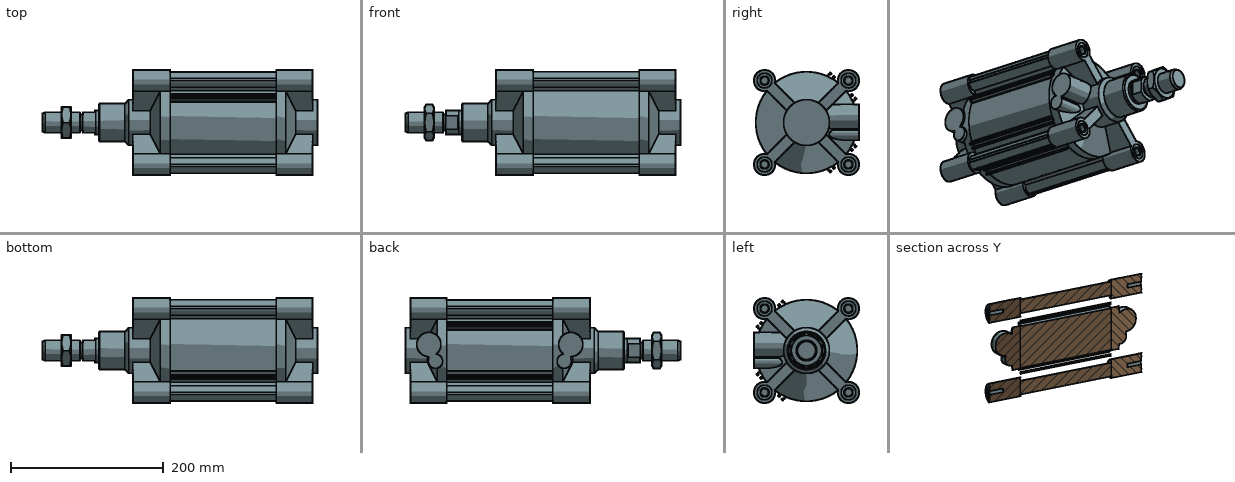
import cadquery as cq
import math


TIP_CHAMFER_END = 3.5
NUT_START = 25.0
NUT_END = 37.5
THREAD_END = 49.0
UNDERCUT_START = 50.5
COLLAR_START = 53.0
FLATS_END = 68.5
COLLAR_END = 70.0
NOSE_START = 73.5
NOSE_END = 108.0
HUB_START = 113.0
FRONT_LUG_START = 118.5
FRONT_CONE_START = 141.0
FRONT_CONE_END = 154.5
BARREL_START = 167.0
BARREL_END = 306.0
REAR_CONE_START = 318.2
REAR_CONE_END = 331.2
REAR_LUG_END = 353.5
CYLINDER_END = 360.0

THREAD_DIAMETER = 27.0
TIP_DIAMETER = 23.8
UNDERCUT_DIAMETER = 20.5
COLLAR_DIAMETER = 32.0
ROD_DIAMETER = 31.5
NUT_ACROSS_FLATS = 41.0
NUT_FACE_DIAMETER = 39.5
NUT_CHAMFER_ANGLE = 30.0

NOSE_DIAMETER = 50.0
NOSE_CHAMFER = 1.8
HUB_DIAMETER = 60.0
HEAD_DIAMETER = 133.2
HEAD_SIDE = 138.0
LUG_DIAMETER = 28.0
LUG_OFFSET = (HEAD_SIDE - LUG_DIAMETER) / 2
WEB_WIDTH = 14.5
LUG_RECESS_DIAMETER = 19.5
LUG_RECESS_DEPTH = 0.5
LUG_HOLE_DIAMETER = 10.0
LUG_HOLE_MOUTH_DIAMETER = 12.0
LUG_HOLE_DEPTH = 21.5

BOSS_FACE_Y = HEAD_SIDE / 2
PORT_BOSS_DIAMETER = 31.5
PORT_BOSS_Z = 8.0
PORT_BOSS_INSET = 23.5
SCREW_BOSS_DIAMETER = 18.7
SCREW_BOSS_Z = -14.0
SCREW_BOSS_INSET = 14.8
BOSS_WEB_BOTTOM_Z = -10.8

COLUMN_OFFSET = 56.0
COLUMN_DIAMETER = 20.5
COLUMN_SLOT_WIDTH = 3.5
COLUMN_SLOT_DEPTH = 1.0
RAIL_TOP = 68.5
RAIL_OFFSET = 19.8
RAIL_WIDTH = 9.0
RAIL_CAVITY_WIDTH = 6.5
RAIL_CAVITY_FLOOR = 62.5
RAIL_MOUTH_WIDTH = 4.0
RAIL_LIP_THICKNESS = 1.8

DIAGONALS = (45, 135, 225, 315)


def turned(profile):
    """Solid of revolution about X; the profile lists (x, radius) from one end to the other."""
    outline = [(profile[0][0], 0), *profile, (profile[-1][0], 0)]
    return cq.Workplane("XY").polyline(outline).close().revolve(360, (0, 0, 0), (1, 0, 0))


def x_rod(start, end, diameter, y=0.0, z=0.0):
    """Round bar parallel to X."""
    return cq.Workplane("YZ", origin=(start, y, z)).circle(diameter / 2).extrude(end - start)


def block(x_range, y_range, z_range):
    """Box given by its limits along each axis."""
    ranges = (x_range, y_range, z_range)
    size = [high - low for low, high in ranges]
    return cq.Workplane("XY", origin=[low for low, _ in ranges]).box(*size, centered=False)


def about_x(body, angle):
    return body.rotate((0, 0, 0), (1, 0, 0), angle)


def make_rod():
    thread = THREAD_DIAMETER / 2
    undercut = UNDERCUT_DIAMETER / 2
    collar = COLLAR_DIAMETER / 2
    shank = ROD_DIAMETER / 2
    rod = turned([
        (0, TIP_DIAMETER / 2), (TIP_CHAMFER_END, thread),
        (THREAD_END, thread), (UNDERCUT_START, undercut),
        (COLLAR_START, undercut), (COLLAR_START, collar),
        (COLLAR_END, collar), (COLLAR_END, shank), (BARREL_START, shank),
    ])
    for side in (0, 180):
        flat = block((COLLAR_START, FLATS_END), (thread, collar), (-collar, collar))
        rod = rod.cut(about_x(flat, side))
    return rod


def make_nut():
    corner = NUT_ACROSS_FLATS / math.sqrt(3)
    face = NUT_FACE_DIAMETER / 2
    chamfer = (corner - face) * math.tan(math.radians(NUT_CHAMFER_ANGLE))
    hexagon = cq.Workplane("YZ", origin=(NUT_START, 0, 0)).polygon(6, 2 * corner).extrude(NUT_END - NUT_START)
    envelope = turned([
        (NUT_START, face), (NUT_START + chamfer, corner),
        (NUT_END - chamfer, corner), (NUT_END, face),
    ])
    return about_x(hexagon, 90).intersect(envelope).cut(x_rod(NUT_START, NUT_END, THREAD_DIAMETER))


def add_lugs(head, start, end):
    """Four corner lugs, each joined to the hub by a diagonal web."""
    for angle in DIAGONALS:
        reach = LUG_OFFSET * math.sqrt(2)
        web = block((start, end), (0, reach), (-WEB_WIDTH / 2, WEB_WIDTH / 2))
        lug = web.union(x_rod(start, end, LUG_DIAMETER, y=reach))
        head = head.union(about_x(lug, angle))
    return head


def lug_hole(outer_face, inward):
    """Threaded hole with a countersunk mouth in a shallow round recess; inward is +1 or -1 along X."""
    seat = LUG_RECESS_DEPTH
    sink = (LUG_HOLE_MOUTH_DIAMETER - LUG_HOLE_DIAMETER) / 2
    steps = [
        (0, LUG_RECESS_DIAMETER / 2), (seat, LUG_RECESS_DIAMETER / 2),
        (seat, LUG_HOLE_MOUTH_DIAMETER / 2), (seat + sink, LUG_HOLE_DIAMETER / 2),
        (LUG_HOLE_DEPTH, LUG_HOLE_DIAMETER / 2),
    ]
    return turned([(outer_face + inward * depth, radius) for depth, radius in steps])


def cut_lug_holes(head, outer_face, inward):
    hole = lug_hole(outer_face, inward).translate((0, LUG_OFFSET * math.sqrt(2), 0))
    for angle in DIAGONALS:
        head = head.cut(about_x(hole, angle))
    return head


def add_port_bosses(head, barrel_face, outward):
    """Port boss and cushion screw boss reaching out to +Y; outward is +1 or -1 along X."""
    bosses = (
        (PORT_BOSS_DIAMETER, PORT_BOSS_INSET, PORT_BOSS_Z),
        (SCREW_BOSS_DIAMETER, SCREW_BOSS_INSET, SCREW_BOSS_Z),
    )
    for diameter, inset, height in bosses:
        plane = cq.Workplane("XZ", origin=(barrel_face + outward * inset, BOSS_FACE_Y, height))
        head = head.union(plane.circle(diameter / 2).extrude(BOSS_FACE_Y))
    web_ends = sorted(barrel_face + outward * inset for _, inset, _ in bosses)
    return head.union(block(web_ends, (0, BOSS_FACE_Y), (BOSS_WEB_BOTTOM_Z, PORT_BOSS_Z)))


def make_front_head():
    nose = NOSE_DIAMETER / 2
    hub = HUB_DIAMETER / 2
    head = turned([
        (NOSE_START, nose - NOSE_CHAMFER), (NOSE_START + NOSE_CHAMFER, nose),
        (NOSE_END, nose), (HUB_START, hub), (FRONT_CONE_START, hub),
        (FRONT_CONE_END, HEAD_DIAMETER / 2), (BARREL_START, HEAD_DIAMETER / 2),
    ])
    head = add_lugs(head, FRONT_LUG_START, BARREL_START)
    head = add_port_bosses(head, BARREL_START, -1)
    head = cut_lug_holes(head, FRONT_LUG_START, 1)
    return head.cut(x_rod(NOSE_START, BARREL_START, ROD_DIAMETER))


def make_rear_head():
    hub = HUB_DIAMETER / 2
    head = turned([
        (BARREL_END, HEAD_DIAMETER / 2), (REAR_CONE_START, HEAD_DIAMETER / 2),
        (REAR_CONE_END, hub), (CYLINDER_END, hub),
    ])
    head = add_lugs(head, BARREL_END, REAR_LUG_END)
    head = add_port_bosses(head, BARREL_END, 1)
    return cut_lug_holes(head, REAR_LUG_END, -1)


def make_column():
    """Column at the +Y +Z corner: a slotted round bar on a diagonal web."""
    length = (BARREL_START, BARREL_END)
    reach = COLUMN_OFFSET * math.sqrt(2)
    web = about_x(block(length, (0, reach), (-WEB_WIDTH / 2, WEB_WIDTH / 2)), DIAGONALS[0])
    column = web.union(x_rod(*length, COLUMN_DIAMETER, y=COLUMN_OFFSET, z=COLUMN_OFFSET))
    crown = COLUMN_OFFSET + COLUMN_DIAMETER / 2
    across = (COLUMN_OFFSET - COLUMN_SLOT_WIDTH / 2, COLUMN_OFFSET + COLUMN_SLOT_WIDTH / 2)
    deep = (crown - COLUMN_SLOT_DEPTH, crown)
    return column.cut(block(length, deep, across)).cut(block(length, across, deep))


def rail_block(bottom, top, width):
    """Full-length block beside the +Y axis, centred on the rail."""
    sides = (RAIL_OFFSET - width / 2, RAIL_OFFSET + width / 2)
    return block((BARREL_START, BARREL_END), (bottom, top), sides)


def make_rail():
    """Sensor rail standing along +Y, and the undercut slot that opens at its tip."""
    rail = rail_block(0, RAIL_TOP, RAIL_WIDTH)
    cavity = rail_block(RAIL_CAVITY_FLOOR, RAIL_TOP - RAIL_LIP_THICKNESS, RAIL_CAVITY_WIDTH)
    mouth = rail_block(RAIL_CAVITY_FLOOR, RAIL_TOP, RAIL_MOUTH_WIDTH)
    return rail, cavity.union(mouth)


def make_barrel():
    barrel = x_rod(BARREL_START, BARREL_END, HEAD_DIAMETER)
    column = make_column()
    for angle in DIAGONALS:
        barrel = barrel.union(about_x(column, angle - DIAGONALS[0]))
    rail_pair = make_rail()
    mirrored_pair = [piece.mirror("XY") for piece in rail_pair]
    for angle in (DIAGONALS[0], DIAGONALS[-1]):
        for rail, slot in (rail_pair, mirrored_pair):
            barrel = barrel.union(about_x(rail, angle)).cut(about_x(slot, angle))
    return barrel


rod = make_rod()
nut = make_nut()
front_head = make_front_head()
rear_head = make_rear_head()
barrel = make_barrel()

result = cq.Compound.makeCompound([
    rod.val(), nut.val(), front_head.val(), rear_head.val(), barrel.val(),
])